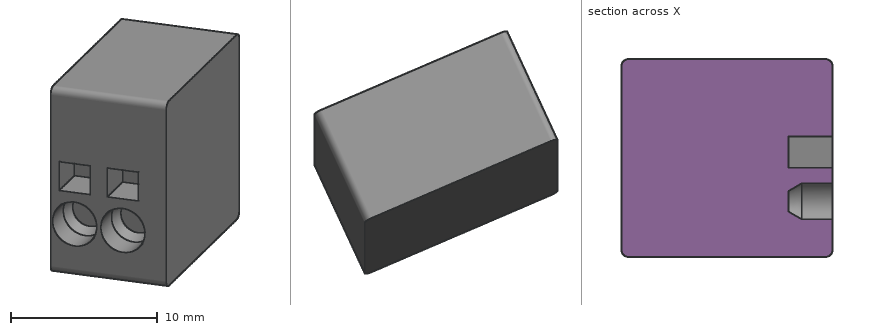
import cadquery as cq

width = 8.4
depth = 14.4
height = 13.5
edge_radius = 0.5

pole_count = 2
pole_pitch = 3.5
first_pole_x = -width / 2 + pole_pitch / 2

entry_diameter = 3.2
funnel_floor_diameter = 2.5
entry_depth = 2.1
funnel_depth = 0.9
entry_height_above_base = 3.8
entry_z = -height / 2 + entry_height_above_base

slot_width = 2.25
slot_height = 2.1
slot_depth = entry_depth + funnel_depth
slot_height_above_base = 7.15
slot_z = -height / 2 + slot_height_above_base

front_y = -depth / 2


def make_housing():
    """Block with its four X-direction edges rounded."""
    return cq.Workplane("XY").box(width, depth, height).edges("|X").fillet(edge_radius)


def make_wire_entry(x):
    """Straight bore from the front face, followed by a conical funnel."""
    inward = cq.Vector(0, 1, 0)
    bore = cq.Solid.makeCylinder(
        entry_diameter / 2,
        entry_depth,
        pnt=cq.Vector(x, front_y, entry_z),
        dir=inward,
    )
    funnel = cq.Solid.makeCone(
        entry_diameter / 2,
        funnel_floor_diameter / 2,
        funnel_depth,
        pnt=cq.Vector(x, front_y + entry_depth, entry_z),
        dir=inward,
    )
    return cq.Workplane(obj=bore).union(cq.Workplane(obj=funnel))


def make_release_slot(x):
    """Rectangular prism running inward from the front face."""
    slot_center = (x, front_y + slot_depth / 2, slot_z)
    return cq.Workplane("XY").box(slot_width, slot_depth, slot_height).translate(slot_center)


result = make_housing()
for pole in range(pole_count):
    pole_x = first_pole_x + pole * pole_pitch
    result = result.cut(make_wire_entry(pole_x))
    result = result.cut(make_release_slot(pole_x))